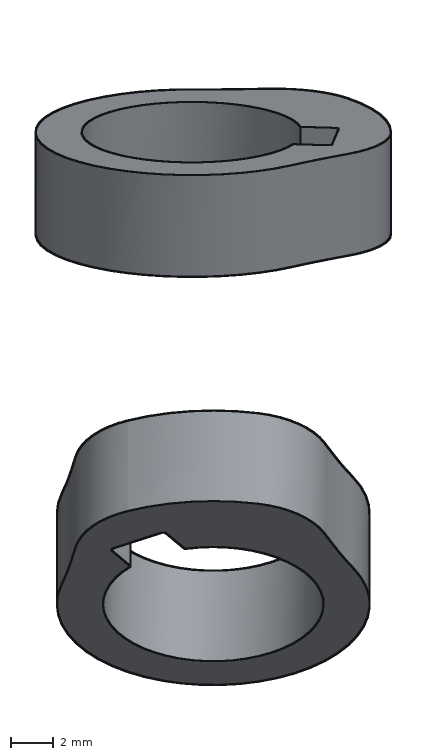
import cadquery as cq
import math

height = 5.0
base_radius = 7.39
lobe_radius = 9.4
bore_radius = 5.2

lobe_axis = 70.6
dwell_half_angle = 19.2
lobe_half_angle = 69.5
nose_radius = 4.43
root_radius = 25.18

key_angle = 45.0
key_width = 3.0
key_depth_radius = 6.82
key_corner_radius = 0.17


def polar(radius, angle):
    """Point at a radius and an angle in degrees about the bore axis."""
    return (radius * math.cos(math.radians(angle)), radius * math.sin(math.radians(angle)))


def offset(center, radius, angle):
    """Point on a circle about the given center."""
    dx, dy = polar(radius, angle)
    return (center[0] + dx, center[1] + dy)


def flank(side):
    """Points of one flank, base circle to lobe: root arc, straight line, nose arc.

    side is -1 for the clockwise flank and +1 for the counterclockwise one.
    """
    base_angle = lobe_axis + side * lobe_half_angle
    dwell_angle = lobe_axis + side * dwell_half_angle
    root_center = polar(base_radius + root_radius, base_angle)
    nose_center = polar(lobe_radius - nose_radius, dwell_angle)

    dx = root_center[0] - nose_center[0]
    dy = root_center[1] - nose_center[1]
    center_direction = math.degrees(math.atan2(dy, dx))
    tangent_tilt = math.degrees(math.acos((nose_radius + root_radius) / math.hypot(dx, dy)))
    normal = center_direction - side * tangent_tilt

    nose_turn = (dwell_angle - normal + 180) % 360 - 180
    root_turn = (base_angle - normal + 180) % 360 - 180
    return [
        polar(base_radius, base_angle),
        offset(root_center, -root_radius, normal + root_turn / 2),
        offset(root_center, -root_radius, normal),
        offset(nose_center, nose_radius, normal),
        offset(nose_center, nose_radius, normal + nose_turn / 2),
        polar(lobe_radius, dwell_angle),
    ]


def cam_body():
    right = flank(-1)
    left = flank(1)[::-1]
    return (
        cq.Workplane("XY")
        .moveTo(*right[0])
        .threePointArc(right[1], right[2])
        .lineTo(*right[3])
        .threePointArc(right[4], right[5])
        .threePointArc(polar(lobe_radius, lobe_axis), left[0])
        .threePointArc(left[1], left[2])
        .lineTo(*left[3])
        .threePointArc(left[4], left[5])
        .threePointArc(polar(base_radius, lobe_axis + 180), right[0])
        .close()
        .extrude(height)
    )


def keyway():
    """Slot from the bore axis outward, with its outer corners rounded."""
    return (
        cq.Workplane("XY")
        .center(key_depth_radius / 2, 0)
        .rect(key_depth_radius, key_width)
        .extrude(height)
        .edges("|Z and >X")
        .fillet(key_corner_radius)
        .rotate((0, 0, 0), (0, 0, 1), key_angle)
    )


bore = cq.Workplane("XY").circle(bore_radius).extrude(height)
result = cam_body().cut(bore).cut(keyway())